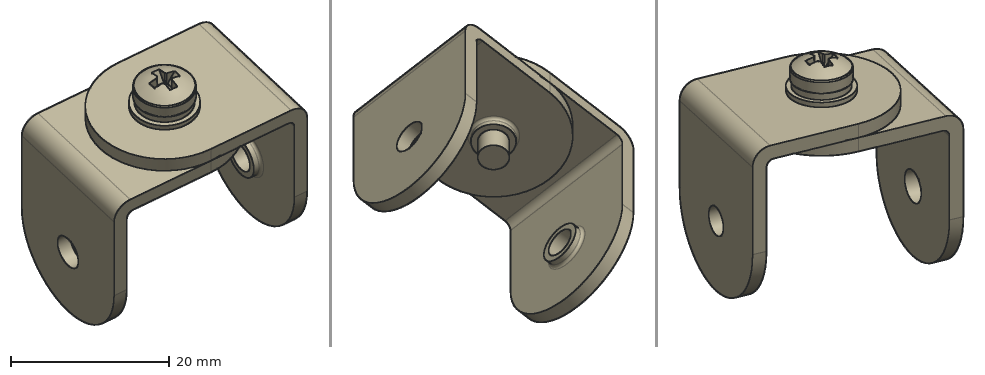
import cadquery as cq
import math

WIDTH = 20.0
DEPTH = 30.0
THICKNESS = 2.0
LEG_LENGTH = 25.0
BEND_OUTER_RADIUS = 2.5
BEND_INNER_RADIUS = 1.0
END_RADIUS = WIDTH / 2
LEG_HOLE_Z = END_RADIUS - LEG_LENGTH

CLEARANCE_RADIUS = 2.25
COLLAR_BORE_RADIUS = 2.0
COLLAR_RADIUS = 2.85
COLLAR_HEIGHT = 1.17
COLLAR_FILLET = 0.4

FLAT_WASHER_RADIUS = 4.5
FLAT_WASHER_HEIGHT = 0.7
SPRING_WASHER_RADIUS = 3.85
SPRING_WASHER_HEIGHT = 1.0

SHANK_RADIUS = COLLAR_BORE_RADIUS
SHANK_TIP_Z = -8.28
HEAD_RADIUS = 4.0
HEAD_BOTTOM_Z = FLAT_WASHER_HEIGHT + SPRING_WASHER_HEIGHT
HEAD_WALL_HEIGHT = 1.6
HEAD_EDGE_WIDTH = 0.13
HEAD_EDGE_HEIGHT = 0.22
APEX_Z = 4.8

RECESS_ARM_WIDTH = 1.15
RECESS_REACH = 2.22
RECESS_CORE_RADIUS = 0.98
RECESS_CORE_BOTTOM_RADIUS = 0.9
RECESS_DEPTH = 1.9
RECESS_TIP_DEPTH = 0.38


def bent_plate():
    """Plate with its flange top at z = 0, its leg on +Y and both free ends rounded."""
    back = DEPTH / 2
    plate = (
        cq.Workplane("YZ")
        .moveTo(-END_RADIUS, 0)
        .lineTo(back, 0)
        .lineTo(back, -LEG_LENGTH)
        .lineTo(back - THICKNESS, -LEG_LENGTH)
        .lineTo(back - THICKNESS, -THICKNESS)
        .lineTo(-END_RADIUS, -THICKNESS)
        .close()
        .extrude(WIDTH / 2, both=True)
    )
    plate = plate.edges("|X and >Y and >Z").fillet(BEND_OUTER_RADIUS)
    inner_corner = cq.NearestToPointSelector((0, back - THICKNESS, -THICKNESS))
    plate = plate.edges("|X").edges(inner_corner).fillet(BEND_INNER_RADIUS)
    flange_outline = (
        cq.Workplane("XY")
        .moveTo(-END_RADIUS, back)
        .lineTo(-END_RADIUS, 0)
        .threePointArc((0, -END_RADIUS), (END_RADIUS, 0))
        .lineTo(END_RADIUS, back)
        .close()
        .extrude(-LEG_LENGTH)
    )
    leg_outline = (
        cq.Workplane("XZ")
        .moveTo(-END_RADIUS, 0)
        .lineTo(-END_RADIUS, LEG_HOLE_Z)
        .threePointArc((0, -LEG_LENGTH), (END_RADIUS, LEG_HOLE_Z))
        .lineTo(END_RADIUS, 0)
        .close()
        .extrude(DEPTH, both=True)
    )
    return plate.intersect(flange_outline).intersect(leg_outline)


def collar():
    """Collar rising along +Z from z = 0, with a concave fillet around its foot."""
    foot_radius = COLLAR_RADIUS + COLLAR_FILLET
    diagonal = COLLAR_FILLET * (1 - math.sqrt(0.5))
    return (
        cq.Workplane("XZ")
        .lineTo(foot_radius, 0)
        .threePointArc((COLLAR_RADIUS + diagonal, diagonal), (COLLAR_RADIUS, COLLAR_FILLET))
        .lineTo(COLLAR_RADIUS, COLLAR_HEIGHT)
        .lineTo(0, COLLAR_HEIGHT)
        .close()
        .revolve(360, (0, 0), (0, 1))
    )


def flange_bore(radius):
    """Cutter on the Z axis, through the flange and any collar below it."""
    return cq.Workplane("XY").circle(radius).extrude(-(THICKNESS + COLLAR_HEIGHT))


def leg_bore(radius):
    """Cutter along Y, through the leg and any collar inside it."""
    bore = cq.Workplane("XZ").circle(radius).extrude(THICKNESS + COLLAR_HEIGHT)
    return bore.translate((0, DEPTH / 2, LEG_HOLE_Z))


def make_upper_bracket():
    """Bracket with a clearance hole in the flange and a collar inside the leg."""
    leg_collar = collar().rotate((0, 0, 0), (1, 0, 0), 90)
    leg_collar = leg_collar.translate((0, DEPTH / 2 - THICKNESS, LEG_HOLE_Z))
    bracket = bent_plate().union(leg_collar)
    return bracket.cut(leg_bore(COLLAR_BORE_RADIUS)).cut(flange_bore(CLEARANCE_RADIUS))


def make_lower_bracket():
    """Turned bracket under the upper one, with the collar below its flange."""
    flange_collar = collar().rotate((0, 0, 0), (1, 0, 0), 180).translate((0, 0, -THICKNESS))
    bracket = bent_plate().union(flange_collar)
    bracket = bracket.cut(flange_bore(COLLAR_BORE_RADIUS)).cut(leg_bore(CLEARANCE_RADIUS))
    return bracket.rotate((0, 0, 0), (0, 0, 1), 180).translate((0, 0, -THICKNESS))


def make_washer(outer_radius, height, bottom_z):
    """Plain ring that fits the screw shank."""
    ring = cq.Workplane("XY").circle(outer_radius).circle(SHANK_RADIUS).extrude(height)
    return ring.translate((0, 0, bottom_z))


def cross_recess():
    """Cutter with four sloping arms around a tapered core that ends in a cone."""
    floor_z = APEX_Z - RECESS_DEPTH
    cutter = (
        cq.Workplane("XZ")
        .moveTo(0, APEX_Z)
        .lineTo(RECESS_CORE_RADIUS, APEX_Z)
        .lineTo(RECESS_CORE_BOTTOM_RADIUS, floor_z)
        .lineTo(0, floor_z - RECESS_TIP_DEPTH)
        .close()
        .revolve(360, (0, 0), (0, 1))
    )
    arm_pair = (
        cq.Workplane("XZ")
        .moveTo(-RECESS_REACH, APEX_Z)
        .lineTo(RECESS_REACH, APEX_Z)
        .lineTo(RECESS_CORE_BOTTOM_RADIUS, floor_z)
        .lineTo(-RECESS_CORE_BOTTOM_RADIUS, floor_z)
        .close()
        .extrude(RECESS_ARM_WIDTH / 2, both=True)
    )
    for angle in (0, 90):
        cutter = cutter.union(arm_pair.rotate((0, 0, 0), (0, 0, 1), angle))
    return cutter


def make_screw():
    """Domed screw with a cylindrical head, a plain shank and a cross recess."""
    wall_top_z = HEAD_BOTTOM_Z + HEAD_WALL_HEIGHT
    dome_edge_radius = HEAD_RADIUS - HEAD_EDGE_WIDTH
    dome_edge_z = wall_top_z + HEAD_EDGE_HEIGHT
    dome_height = APEX_Z - dome_edge_z
    dome_radius = (dome_edge_radius**2 + dome_height**2) / (2 * dome_height)
    middle_radius = dome_edge_radius / 2
    middle_z = APEX_Z - dome_radius + math.sqrt(dome_radius**2 - middle_radius**2)
    screw = (
        cq.Workplane("XZ")
        .moveTo(0, SHANK_TIP_Z)
        .lineTo(SHANK_RADIUS, SHANK_TIP_Z)
        .lineTo(SHANK_RADIUS, HEAD_BOTTOM_Z)
        .lineTo(HEAD_RADIUS, HEAD_BOTTOM_Z)
        .lineTo(HEAD_RADIUS, wall_top_z)
        .lineTo(dome_edge_radius, dome_edge_z)
        .threePointArc((middle_radius, middle_z), (0, APEX_Z))
        .close()
        .revolve(360, (0, 0), (0, 1))
    )
    return screw.cut(cross_recess())


upper_bracket = make_upper_bracket()
lower_bracket = make_lower_bracket()
flat_washer = make_washer(FLAT_WASHER_RADIUS, FLAT_WASHER_HEIGHT, 0)
spring_washer = make_washer(SPRING_WASHER_RADIUS, SPRING_WASHER_HEIGHT, FLAT_WASHER_HEIGHT)
screw = make_screw()

result = cq.Compound.makeCompound([
    upper_bracket.val(),
    lower_bracket.val(),
    flat_washer.val(),
    spring_washer.val(),
    screw.val(),
])